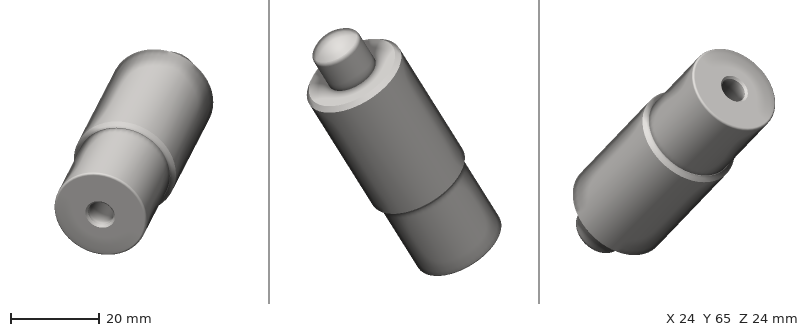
import cadquery as cq
import math

total_length = 64.95
body_length = 54.05
barrel_diameter = 24.0
barrel_chamfer = 1.05
shank_diameter = 21.7
shank_length = 20.0
shank_edge_radius = 0.5

hole_diameter = 6.0
hole_depth = 12.0
hole_chamfer = 0.5
drill_angle = 118.0

plunger_diameter = 12.0
dome_radius = 8.0
dome_edge_radius = 1.3


def revolve_about_y(outline):
    """Turn a closed half-outline in the XY plane into a solid of revolution about Y."""
    return outline.close().revolve(360, (0, 0, 0), (0, 1, 0))


def make_rear_hole():
    """Blind drilled hole along the axis, with a countersunk mouth in the rear face."""
    hole_radius = hole_diameter / 2
    cone_height = hole_radius / math.tan(math.radians(drill_angle / 2))
    outline = (
        cq.Workplane("XY")
        .lineTo(hole_radius + hole_chamfer, 0)
        .lineTo(hole_radius, hole_chamfer)
        .lineTo(hole_radius, hole_depth)
        .lineTo(0, hole_depth + cone_height)
    )
    return revolve_about_y(outline)


def make_housing():
    """Chamfered barrel on a slimmer shank with a rounded rear edge and a blind hole."""
    barrel_radius = barrel_diameter / 2
    barrel_end_radius = barrel_radius - barrel_chamfer
    shank_radius = shank_diameter / 2
    outline = (
        cq.Workplane("XY")
        .lineTo(shank_radius - shank_edge_radius, 0)
        .tangentArcPoint((shank_radius, shank_edge_radius), relative=False)
        .lineTo(shank_radius, shank_length)
        .lineTo(barrel_end_radius, shank_length)
        .lineTo(barrel_radius, shank_length + barrel_chamfer)
        .lineTo(barrel_radius, body_length - barrel_chamfer)
        .lineTo(barrel_end_radius, body_length)
        .lineTo(0, body_length)
    )
    return revolve_about_y(outline).cut(make_rear_hole())


def make_plunger():
    """Round pin standing on the housing's front face, with a domed, rounded tip."""
    plunger_radius = plunger_diameter / 2
    dome_center = total_length - dome_radius
    center_distance = dome_radius - dome_edge_radius
    touch_angle = math.asin((plunger_radius - dome_edge_radius) / center_distance)
    edge_arc_center = dome_center + center_distance * math.cos(touch_angle)

    def point_on_dome(angle):
        return (dome_radius * math.sin(angle), dome_center + dome_radius * math.cos(angle))

    outline = (
        cq.Workplane("XY")
        .moveTo(0, body_length)
        .lineTo(plunger_radius, body_length)
        .lineTo(plunger_radius, edge_arc_center)
        .tangentArcPoint(point_on_dome(touch_angle), relative=False)
        .threePointArc(point_on_dome(touch_angle / 2), (0, total_length))
    )
    return revolve_about_y(outline)


housing = make_housing()
plunger = make_plunger()

result = cq.Compound.makeCompound([housing.val(), plunger.val()])